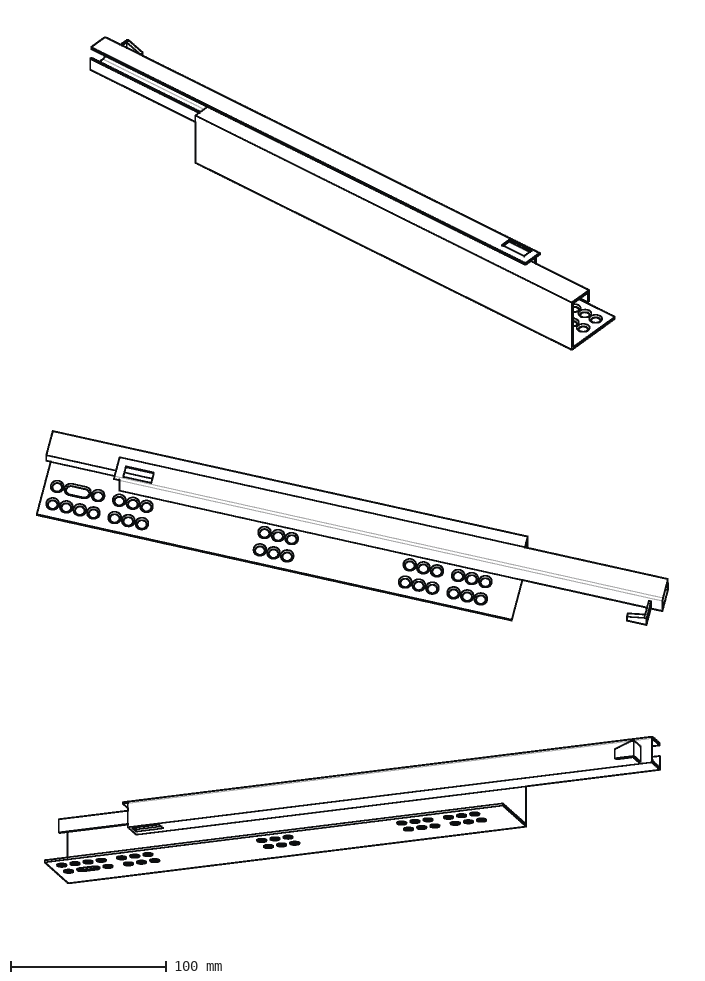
import cadquery as cq

SHEET = 1.5
CLEAR = 1.0

HOUSING_START = 95.0
HOUSING_LENGTH = 314.0
HOUSING_WIDTH = 43.5
HOUSING_HEIGHT = 38.0
HOOK_WIDTH = 17.5
HOOK_DEPTH = 9.0

HOLE_DIAMETER = 6.0
SINK_DIAMETER = 8.3
SINK_DEPTH = (SINK_DIAMETER - HOLE_DIAMETER) / 2
HOLE_PITCH = 9.0
GRID = 32.0
FIRST_HOLE_X = HOUSING_START + 22.75
TRIPLE_GROUP_STEPS = (0, 1, 4, 7)
END_GROUP_STEP = 8
ROW_PITCH = 12.5
OUTER_ROW_Y = 34.0
INNER_ROW_Y = OUTER_ROW_Y - ROW_PITCH

RAIL_LENGTH = 362.5
CHANNEL_LENGTH = 359.0
RAIL_TOP = 42.0
RAIL_BOTTOM = 24.0
RAIL_BACK = 24.6
RAIL_FRONT = 8.5
FLANGE_EDGE = 9.5
LIP_TOP = 33.25
BEND_INSIDE = 1.5
BEND_OUTSIDE = 1.5
LIP_BEND = 0.75

WINDOW_START = 338.5
WINDOW_LENGTH = 18.5
WINDOW_FRONT = 14.75
WINDOW_BACK = 22.25

ARM_START = 7.5
BRACKET_REACH = 37.0
BRACKET_BOTTOM = 25.25
BRACKET_HEIGHT = 10.5
PAD_LENGTH = 13.0
PAD_THICKNESS = 2.5
PAD_END_HEIGHT = 6.25


def extrude_along_x(outline, start, length):
    """Solid with the given closed (Y, Z) outline, running along +X from start."""
    return cq.Workplane("YZ").workplane(offset=start).polyline(outline).close().extrude(length)


def block(x, y, z, length, width, height):
    """Box with its lowest corner at (x, y, z)."""
    return cq.Workplane("XY").box(length, width, height, centered=False).translate((x, y, z))


def countersunk_hole(x, y):
    """Tool for one floor hole, widening towards the upper face."""
    half_profile = [
        (0, 0),
        (HOLE_DIAMETER / 2, 0),
        (HOLE_DIAMETER / 2, SHEET - SINK_DEPTH),
        (SINK_DIAMETER / 2, SHEET),
        (0, SHEET),
    ]
    tool = cq.Workplane("XZ").polyline(half_profile).close().revolve(360, (0, 0, 0), (0, 1, 0))
    return tool.translate((x, y, 0))


def countersunk_slot(x, y):
    """Tool for a slot that joins two neighbouring hole positions, the first at x."""
    cross_section = [
        (y - HOLE_DIAMETER / 2, 0),
        (y + HOLE_DIAMETER / 2, 0),
        (y + HOLE_DIAMETER / 2, SHEET - SINK_DEPTH),
        (y + SINK_DIAMETER / 2, SHEET),
        (y - SINK_DIAMETER / 2, SHEET),
        (y - HOLE_DIAMETER / 2, SHEET - SINK_DEPTH),
    ]
    middle = extrude_along_x(cross_section, x, HOLE_PITCH)
    return middle.union(countersunk_hole(x, y)).union(countersunk_hole(x + HOLE_PITCH, y))


def hole_x(group_step, index):
    return FIRST_HOLE_X + group_step * GRID + index * HOLE_PITCH


def make_housing():
    profile = [
        (0, 0),
        (HOUSING_WIDTH, 0),
        (HOUSING_WIDTH, SHEET),
        (SHEET, SHEET),
        (SHEET, HOUSING_HEIGHT - SHEET),
        (HOOK_WIDTH - SHEET, HOUSING_HEIGHT - SHEET),
        (HOOK_WIDTH - SHEET, HOUSING_HEIGHT - HOOK_DEPTH),
        (HOOK_WIDTH, HOUSING_HEIGHT - HOOK_DEPTH),
        (HOOK_WIDTH, HOUSING_HEIGHT),
        (0, HOUSING_HEIGHT),
    ]
    body = extrude_along_x(profile, HOUSING_START, HOUSING_LENGTH)

    for step in TRIPLE_GROUP_STEPS:
        for index in range(3):
            for row_y in (OUTER_ROW_Y, INNER_ROW_Y):
                body = body.cut(countersunk_hole(hole_x(step, index), row_y))

    for index in range(4):
        body = body.cut(countersunk_hole(hole_x(END_GROUP_STEP, index), OUTER_ROW_Y))
    for index in (0, 3):
        body = body.cut(countersunk_hole(hole_x(END_GROUP_STEP, index), INNER_ROW_Y))
    return body.cut(countersunk_slot(hole_x(END_GROUP_STEP, 1), INNER_ROW_Y))


def round_long_edge(body, y, z, radius):
    """Fillet the edge of the rail that runs along X through (y, z)."""
    edge = cq.selectors.NearestToPointSelector((RAIL_LENGTH / 2, y, z))
    return body.edges("|X").edges(edge).fillet(radius)


def make_rail_section():
    web_inside = RAIL_BACK - SHEET
    flange_underside = RAIL_TOP - SHEET
    floor_top = RAIL_BOTTOM + SHEET
    profile = [
        (FLANGE_EDGE, RAIL_TOP),
        (RAIL_BACK, RAIL_TOP),
        (RAIL_BACK, RAIL_BOTTOM),
        (RAIL_FRONT, RAIL_BOTTOM),
        (RAIL_FRONT, LIP_TOP),
        (RAIL_FRONT + SHEET, LIP_TOP),
        (RAIL_FRONT + SHEET, floor_top),
        (web_inside, floor_top),
        (web_inside, flange_underside),
        (FLANGE_EDGE, flange_underside),
    ]
    body = extrude_along_x(profile, 0, RAIL_LENGTH)
    body = round_long_edge(body, RAIL_BACK, RAIL_TOP, BEND_OUTSIDE)
    body = round_long_edge(body, web_inside, flange_underside, BEND_INSIDE)
    body = round_long_edge(body, web_inside, floor_top, BEND_INSIDE)
    body = round_long_edge(body, RAIL_FRONT, RAIL_BOTTOM, LIP_BEND)

    channel_trim = block(
        CHANNEL_LENGTH, RAIL_FRONT - CLEAR, RAIL_BOTTOM - CLEAR,
        RAIL_LENGTH - CHANNEL_LENGTH + CLEAR,
        RAIL_BACK - RAIL_FRONT + 2 * CLEAR,
        flange_underside - RAIL_BOTTOM + CLEAR,
    )
    return body.cut(channel_trim)


def make_window_tool():
    return block(
        WINDOW_START, WINDOW_FRONT, RAIL_BOTTOM - CLEAR,
        WINDOW_LENGTH, WINDOW_BACK - WINDOW_FRONT, RAIL_TOP - RAIL_BOTTOM + 2 * CLEAR,
    )


def make_bracket():
    arm = block(
        ARM_START, RAIL_BACK, BRACKET_BOTTOM,
        SHEET, BRACKET_REACH - RAIL_BACK, BRACKET_HEIGHT,
    )
    pad_end = ARM_START + PAD_LENGTH
    pad_top = BRACKET_BOTTOM + BRACKET_HEIGHT
    pad_outline = [
        (ARM_START, BRACKET_BOTTOM),
        (pad_end, BRACKET_BOTTOM),
        (pad_end, BRACKET_BOTTOM + PAD_END_HEIGHT),
        (ARM_START + SHEET, pad_top),
        (ARM_START, pad_top),
    ]
    pad = (
        cq.Workplane("XZ", origin=(0, BRACKET_REACH, 0))
        .polyline(pad_outline).close()
        .extrude(PAD_THICKNESS)
    )
    return arm.union(pad)


def make_rail():
    return make_rail_section().cut(make_window_tool()).union(make_bracket())


housing = make_housing()
rail = make_rail()

result = cq.Compound.makeCompound([housing.solids().val(), rail.solids().val()])